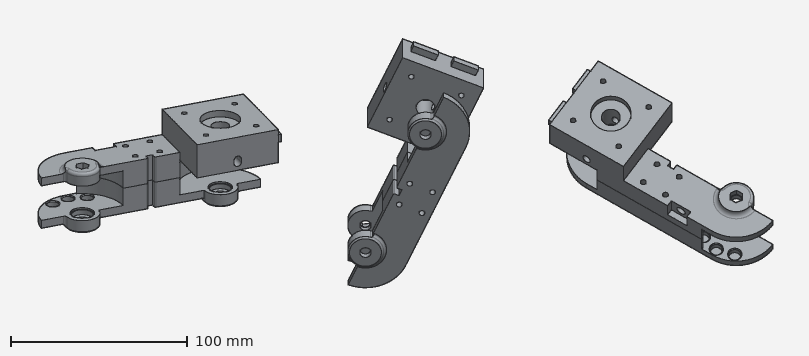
import cadquery as cq
import math


total_length = 139.0
half_width = 25.0
joint_spacing = 84.9
arm_half_height = 15.8
plate_thickness = 5.0
head_height = 20.8
boss_rise = 2.9
fork_gap = arm_half_height - plate_thickness
front_axis = -joint_spacing
arm_edge = 0.3
fork_edge = -0.3

tip_inset = 0.9
tip_offset = 7.1

boss_radius = 10.0
skirt_radius = 2.9
tab_blend = 1.5
upper_boss_round = 2.0
lower_boss_chamfer = 1.0
bore_diameter = 6.4
hex_flats = 7.0
hex_depth = 4.0
bearing_diameter = 12.2
bearing_depth = 4.0
rim_step_diameter = 13.8
rim_step_depth = 1.0

index_diameter = 7.0
index_depth = 4.0
index_chamfer = 0.5
index_circle_radius = 20.6
index_angles = (149, 180, 211)

recess_diameter = 23.0
recess_depth = 4.0
shaft_diameter = 10.5
head_hole_diameter = 3.0
head_hole_offset = 15.4
slot_length = 6.4
slot_width = 4.5
slot_rise = 5.7
tab_width = 15.2
tab_offset = 12.4
tab_length = total_length - 2 * half_width - joint_spacing
tab_height = 4.7
tab_rise = 10.1

arm_hole_diameter = 3.2
arm_hole_columns = (-19.6, -5.5)
arm_hole_rows = (-34.9, -49.9)
notch_depth = 3.3
notch_width = 4.0
notch_y = -42.46
notch_round = 0.7
pocket_depth = 3.9
pocket_length = 13.0
pocket_y = -61.5
pocket_height = 10.0
pocket_hole_diameter = 5.5
pocket_hole_drop = 5.1
pocket_hole_depth = 5.5


def block(x_range, y_range, z_range):
    """Box given by its limits along each axis."""
    sizes = [high - low for low, high in (x_range, y_range, z_range)]
    corner = (x_range[0], y_range[0], z_range[0])
    return cq.Workplane("XY").box(*sizes, centered=False).translate(corner)


def rod(diameter, x, y, z_low, z_high):
    """Vertical cylinder."""
    return cq.Workplane("XY", origin=(x, y, z_low)).circle(diameter / 2).extrude(z_high - z_low)


def rounded_end(axis_y, direction):
    """Quarter-disc plate end around a joint axis; direction is the sign of Y it points to."""
    diagonal = half_width * math.sqrt(0.5)
    edge_y = math.sqrt(half_width**2 - fork_edge**2)
    return (
        cq.Workplane("XY", origin=(0, axis_y, fork_gap))
        .moveTo(-half_width, 0)
        .threePointArc((-diagonal, direction * diagonal), (fork_edge, direction * edge_y))
        .lineTo(fork_edge, 0)
        .close()
        .extrude(plate_thickness)
    )


def spacer():
    """Half of the core between the plates, hollowed at both ends around the joint axes."""
    tip_x = tip_inset - half_width
    tip_y = math.sqrt(half_width**2 - tip_x**2)
    middle_x = tip_x / 2
    middle_y = math.sqrt(half_width**2 - middle_x**2)
    inner_y = math.sqrt(half_width**2 - arm_edge**2)
    return (
        cq.Workplane("XY")
        .moveTo(-half_width, -tip_offset)
        .lineTo(tip_x, -tip_y)
        .threePointArc((middle_x, -middle_y), (arm_edge, -inner_y))
        .lineTo(arm_edge, front_axis + inner_y)
        .threePointArc((middle_x, front_axis + middle_y), (tip_x, front_axis + tip_y))
        .lineTo(-half_width, front_axis + tip_offset)
        .close()
        .extrude(fork_gap)
    )


def boss_blank():
    """Turned boss with its concave skirt, standing on the inner plate face at Z = 0."""
    top = plate_thickness + boss_rise
    foot_radius = boss_radius + skirt_radius
    arc_inset = skirt_radius * (1 - math.sqrt(0.5))
    return (
        cq.Workplane("XZ")
        .lineTo(foot_radius, 0)
        .lineTo(foot_radius, plate_thickness)
        .threePointArc((boss_radius + arc_inset, plate_thickness + arc_inset), (boss_radius, top))
        .lineTo(0, top)
        .close()
        .revolve(360, (0, 0, 0), (0, 1, 0))
    )


def boss_envelope():
    """Upright solid that trims the skirt to the fork edge and blends it into the boss."""
    top = plate_thickness + boss_rise
    reach = 2 * boss_radius
    wall = block((-reach, fork_edge), (-reach, reach), (0, top))
    envelope = wall.union(rod(2 * boss_radius, 0, 0, 0, top))
    corner_y = math.sqrt(boss_radius**2 - fork_edge**2)
    for side in (1, -1):
        corner = cq.selectors.NearestToPointSelector((fork_edge, side * corner_y, top / 2))
        envelope = envelope.edges(corner).fillet(tab_blend)
    return envelope


def upper_boss():
    """Boss with a rounded free side, a bore and a hexagonal socket."""
    top = plate_thickness + boss_rise
    envelope = boss_envelope()
    free_rim = cq.selectors.NearestToPointSelector((boss_radius, 0, top))
    envelope = envelope.edges(free_rim).fillet(upper_boss_round)
    hex_corners = hex_flats / math.cos(math.pi / 6)
    socket = (
        cq.Workplane("XY", origin=(0, 0, top - hex_depth))
        .transformed(rotate=(0, 0, 30))
        .polygon(6, hex_corners)
        .extrude(hex_depth)
    )
    boss = boss_blank().intersect(envelope)
    cutter = rod(bore_diameter, 0, 0, 0, top).union(socket)
    return boss, cutter


def lower_boss():
    """Boss with a chamfered rim, a bore and a stepped bearing recess in the inner plate face."""
    top = plate_thickness + boss_rise
    rim_radius = boss_radius - lower_boss_chamfer
    rim_cone = cq.Workplane("XY").circle(rim_radius + top).extrude(top, taper=45)
    boss = boss_blank().intersect(boss_envelope()).intersect(rim_cone)
    cutter = (
        rod(bore_diameter, 0, 0, 0, top)
        .union(rod(bearing_diameter, 0, 0, 0, bearing_depth))
        .union(rod(rim_step_diameter, 0, 0, 0, rim_step_depth))
    )
    return boss, cutter


def index_cutter():
    """Cutter for a blind index hole with a chamfered mouth at Z = 0."""
    mouth = cq.Workplane("XY").circle(index_diameter / 2 + index_chamfer).extrude(index_chamfer, taper=45)
    return mouth.union(rod(index_diameter, 0, 0, 0, index_depth))


def arm_half(plate_rear):
    """Half of the straight link with its front plate end; its plate begins at Y = plate_rear."""
    plate = block((-half_width, arm_edge), (front_axis, plate_rear), (fork_gap, arm_half_height))
    tip_clear = block((fork_edge, half_width), (front_axis, front_axis + boss_radius), (0, arm_half_height))
    return spacer().union(plate).cut(tip_clear).union(rounded_end(front_axis, -1))


def cut_arm_openings(body):
    """Four through holes and the notch in the inner side, shared by both shells."""
    span = (-arm_half_height, arm_half_height)
    for x in arm_hole_columns:
        for y in arm_hole_rows:
            body = body.cut(rod(arm_hole_diameter, x, y, *span))
    low, high = notch_y - notch_width / 2, notch_y + notch_width / 2
    body = body.cut(block((arm_edge - notch_depth, half_width), (low, high), span))
    for y in (low, high):
        corner = cq.selectors.NearestToPointSelector((arm_edge, y, body.val().Center().z))
        body = body.edges("|Z").edges(corner).fillet(notch_round)
    return body


def make_head():
    """Square head with its recess, holes, cross slot and two rear tabs."""
    underside = fork_gap
    top = underside + head_height
    head = block((-half_width, half_width), (-half_width, half_width), (underside, top))
    head = head.cut(rod(recess_diameter, 0, 0, top - recess_depth, top))
    head = head.cut(rod(shaft_diameter, 0, 0, underside, top))
    for x in (-head_hole_offset, head_hole_offset):
        for y in (-head_hole_offset, head_hole_offset):
            head = head.cut(rod(head_hole_diameter, x, y, underside, top))
    slot = (
        cq.Workplane("YZ", origin=(-half_width, 0, underside + slot_rise))
        .slot2D(slot_length, slot_width, 90)
        .extrude(2 * half_width)
    )
    head = head.cut(slot)
    tab_base = underside + tab_rise
    for x in (-tab_offset, tab_offset):
        head = head.union(
            block(
                (x - tab_width / 2, x + tab_width / 2),
                (half_width, half_width + tab_length),
                (tab_base, tab_base + tab_height),
            )
        )
    return head


def cut_pocket(body):
    """Pocket in the outer side of the arm, with a blind cross hole in its floor."""
    floor_x = pocket_depth - half_width
    pocket = block(
        (-half_width, floor_x),
        (pocket_y - pocket_length / 2, pocket_y + pocket_length / 2),
        (arm_half_height - pocket_height, arm_half_height),
    )
    hole = (
        cq.Workplane("YZ", origin=(floor_x, pocket_y, arm_half_height - pocket_hole_drop))
        .circle(pocket_hole_diameter / 2)
        .extrude(pocket_hole_depth)
    )
    return body.cut(pocket).cut(hole)


def make_upper_shell():
    """Upper half of the arm, with the head and the front socket boss."""
    boss, cutter = upper_boss()
    place = (0, front_axis, fork_gap)
    shell = arm_half(-half_width).union(boss.translate(place)).cut(cutter.translate(place))
    return cut_pocket(cut_arm_openings(shell.union(make_head())))


def make_lower_shell():
    """Lower half of the arm, built face up and then mirrored below the split plane."""
    rear_clear = block((fork_edge, half_width), (-boss_radius, 0), (0, arm_half_height))
    shell = arm_half(0).cut(rear_clear).union(rounded_end(0, 1))
    boss, cutter = lower_boss()
    for y in (0, front_axis):
        place = (0, y, fork_gap)
        shell = shell.union(boss.translate(place)).cut(cutter.translate(place))
    index_hole = index_cutter()
    for angle in index_angles:
        x = index_circle_radius * math.cos(math.radians(angle))
        y = index_circle_radius * math.sin(math.radians(angle))
        shell = shell.cut(index_hole.translate((x, front_axis + y, fork_gap)))
    return cut_arm_openings(shell.mirror("XY"))


upper_shell = make_upper_shell()
lower_shell = make_lower_shell()
result = cq.Compound.makeCompound([*upper_shell.solids().vals(), *lower_shell.solids().vals()])